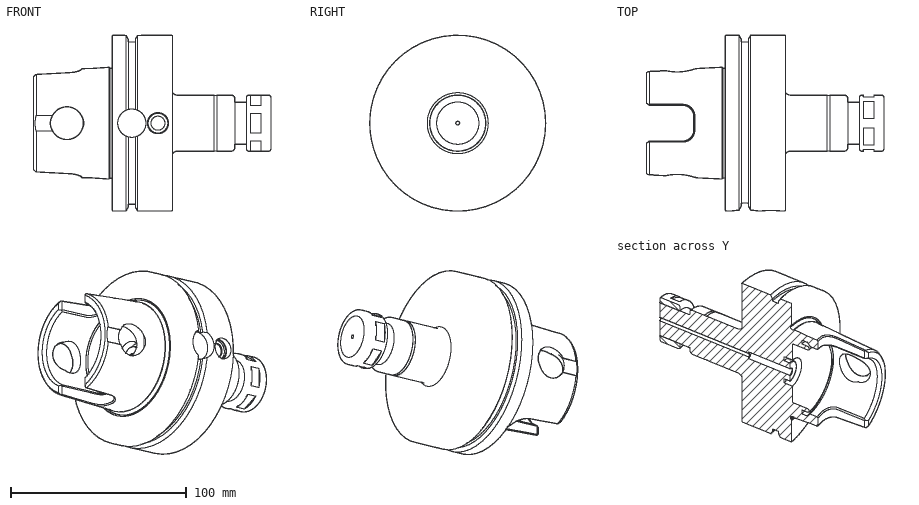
import cadquery as cq
import math


OVERALL_LENGTH = 135.0

TAPER = 0.05
SHANK_START_RADIUS = 29.7
SHANK_CHAMFER_LENGTH = 1.8
SHANK_CHAMFER_HEIGHT = 1.0
TAPER_END = 42.8
RELIEF_START = 43.6
RELIEF_RADIUS = 31.3

FLANGE_START = 44.7
FLANGE_END = 79.1
FLANGE_RADIUS = 100.0 / 2
FLANGE_ROUND = 0.8

FACE_STEP_RADIUS = 34.0
FACE_STEP_DEPTH = 0.3
FACE_GROOVE_RADIUS = 33.2
FACE_GROOVE_DEPTH = 0.8
ROOT_FILLET = 1.1

GRIP_CENTRE = 55.9
GRIP_FLOOR_WIDTH = 3.9
GRIP_MOUTH_WIDTH = 6.5
GRIP_FLOOR_RADIUS = 46.2
GRIP_BEVEL_DEPTH = 2.3

STEM_RADIUS = 32.0 / 2
STEM_END = 114.5
STEM_FILLET_RADIUS = 3.4
STEM_FILLET_HEIGHT = 1.4
STEM_FILLET_LENGTH = math.sqrt(STEM_FILLET_RADIUS**2 - (STEM_FILLET_RADIUS - STEM_FILLET_HEIGHT) ** 2)
STEM_END_ROUND = 2.2
BAND_START = 102.6
BAND_END = 104.2
BAND_DEPTH = 0.1
NECK_RADIUS = 24.0 / 2

NUT_START = 121.0
NUT_RADIUS = STEM_RADIUS
NUT_ROUND = 1.5
FLAT_COUNT = 6
FLAT_DISTANCE = 15.0
FLAT_START = 123.3
FLAT_LENGTH = 6.0

MOUTH_RADIUS = 24.0
MOUTH_BEVEL_LENGTH = 2.4
MOUTH_BEVEL_HEIGHT = 1.1
MOUTH_END = 32.3
UNDERCUT_RADIUS = 26.3
UNDERCUT_SLOPE_LENGTH = 2.0
UNDERCUT_END = 37.8

LIP_RADIUS = 22.4
LIP_ROUND = 1.5
LIP_START = 32.8
CUP_RADIUS = LIP_RADIUS - LIP_ROUND
CUP_FLOOR = 44.3
CUP_FILLET = 0.8

WELL_DIAMETER = 18.5
WELL_END = 50.0
POST_DIAMETER = 13.4
POST_CHAMFER = 0.3
POST_START = 45.9
PILOT_DIAMETER = 4.5
PILOT_CHAMFER = 0.3
PILOT_END = 74.2
COOLANT_DIAMETER = 2.0

SLOT_WIDTH = 20.2
SLOT_LENGTH = 26.9
SLOT_CORNER_RADIUS = 6.3
SLOT_MOUTH_LENGTH = 1.8
SLOT_MOUTH_FLARE = 1.2
SLOT_EDGE_CHAMFER = 0.7

CROSS_HOLE_X = 19.0
CROSS_HOLE_DIAMETER = 18.5
SLANTED_HOLE_DIAMETER = 16.5
SLANT_ANGLE = 25.0
SLANT_PIVOT_DISTANCE = 30.0
KEY_WIDTH = 8.6
KEY_DISTANCE = 29.3

POCKET_DIAMETER = 16.0
POCKET_FLOOR = 44.5
SCREW_X = 70.7
SCREW_STEPS = [(12.0, 46.2), (11.2, 44.8), (8.0, 43.9)]


def turned(outline):
    """Revolve a closed outline in (x, radius) about the X axis."""
    return outline.close().revolve(360, (0, 0, 0), (1, 0, 0))


def rod(diameter, start, end):
    """Cylinder on the X axis between two positions."""
    return cq.Workplane("YZ", origin=(start, 0, 0)).circle(diameter / 2).extrude(end - start)


def side_drill(x, diameter, distance):
    """Cylinder entering from -Y and stopping at the given distance from the axis."""
    plane = cq.Workplane("XZ", origin=(x, -distance, 0))
    return plane.circle(diameter / 2).extrude(FLANGE_RADIUS)


def holder_blank():
    tip_radius = SHANK_START_RADIUS - SHANK_CHAMFER_HEIGHT
    taper_end_radius = SHANK_START_RADIUS + TAPER * TAPER_END
    step_bottom = FLANGE_START + FACE_STEP_DEPTH
    groove_bottom = FLANGE_START + FACE_GROOVE_DEPTH
    bevel_radius = FLANGE_RADIUS - GRIP_BEVEL_DEPTH
    band_radius = STEM_RADIUS - BAND_DEPTH
    fillet_end = FLANGE_END + STEM_FILLET_LENGTH
    outline = (
        cq.Workplane("XY")
        .moveTo(0, 0)
        .lineTo(0, tip_radius)
        .lineTo(SHANK_CHAMFER_LENGTH, SHANK_START_RADIUS + TAPER * SHANK_CHAMFER_LENGTH)
        .lineTo(TAPER_END, taper_end_radius)
        .lineTo(RELIEF_START, RELIEF_RADIUS)
        .lineTo(groove_bottom - ROOT_FILLET, RELIEF_RADIUS)
        .radiusArc((groove_bottom, RELIEF_RADIUS + ROOT_FILLET), -ROOT_FILLET)
        .lineTo(groove_bottom, FACE_GROOVE_RADIUS)
        .lineTo(step_bottom, FACE_GROOVE_RADIUS)
        .lineTo(step_bottom, FACE_STEP_RADIUS)
        .lineTo(FLANGE_START, FACE_STEP_RADIUS)
        .lineTo(FLANGE_START, FLANGE_RADIUS - FLANGE_ROUND)
        .radiusArc((FLANGE_START + FLANGE_ROUND, FLANGE_RADIUS), FLANGE_ROUND)
        .lineTo(GRIP_CENTRE - GRIP_MOUTH_WIDTH / 2, FLANGE_RADIUS)
        .lineTo(GRIP_CENTRE - GRIP_FLOOR_WIDTH / 2, bevel_radius)
        .lineTo(GRIP_CENTRE - GRIP_FLOOR_WIDTH / 2, GRIP_FLOOR_RADIUS)
        .lineTo(GRIP_CENTRE + GRIP_FLOOR_WIDTH / 2, GRIP_FLOOR_RADIUS)
        .lineTo(GRIP_CENTRE + GRIP_FLOOR_WIDTH / 2, bevel_radius)
        .lineTo(GRIP_CENTRE + GRIP_MOUTH_WIDTH / 2, FLANGE_RADIUS)
        .lineTo(FLANGE_END - FLANGE_ROUND, FLANGE_RADIUS)
        .radiusArc((FLANGE_END, FLANGE_RADIUS - FLANGE_ROUND), FLANGE_ROUND)
        .lineTo(FLANGE_END, STEM_RADIUS + STEM_FILLET_HEIGHT)
        .radiusArc((fillet_end, STEM_RADIUS), -STEM_FILLET_RADIUS)
        .lineTo(BAND_START, STEM_RADIUS)
        .lineTo(BAND_START, band_radius)
        .lineTo(BAND_END, band_radius)
        .lineTo(BAND_END, STEM_RADIUS)
        .lineTo(STEM_END - STEM_END_ROUND, STEM_RADIUS)
        .radiusArc((STEM_END, STEM_RADIUS - STEM_END_ROUND), STEM_END_ROUND)
        .lineTo(STEM_END, NECK_RADIUS)
        .lineTo(OVERALL_LENGTH, NECK_RADIUS)
        .lineTo(OVERALL_LENGTH, 0)
    )
    return turned(outline)


def mouth_bore():
    return turned(
        cq.Workplane("XY")
        .moveTo(0, 0)
        .lineTo(0, MOUTH_RADIUS + MOUTH_BEVEL_HEIGHT)
        .lineTo(MOUTH_BEVEL_LENGTH, MOUTH_RADIUS)
        .lineTo(MOUTH_END, MOUTH_RADIUS)
        .lineTo(MOUTH_END, 0)
    )


def inner_cavity():
    lip_outer_radius = LIP_RADIUS + LIP_ROUND
    lip_round_end = LIP_START + LIP_ROUND
    return turned(
        cq.Workplane("XY")
        .moveTo(MOUTH_END, 0)
        .lineTo(MOUTH_END, MOUTH_RADIUS)
        .lineTo(MOUTH_END + UNDERCUT_SLOPE_LENGTH, UNDERCUT_RADIUS)
        .lineTo(UNDERCUT_END, UNDERCUT_RADIUS)
        .lineTo(UNDERCUT_END, lip_outer_radius)
        .lineTo(lip_round_end, lip_outer_radius)
        .threePointArc((LIP_START, LIP_RADIUS), (lip_round_end, CUP_RADIUS))
        .lineTo(CUP_FLOOR - CUP_FILLET, CUP_RADIUS)
        .radiusArc((CUP_FLOOR, CUP_RADIUS - CUP_FILLET), CUP_FILLET)
        .lineTo(CUP_FLOOR, 0)
    )


def axial_bore():
    post_end = WELL_END + POST_CHAMFER
    post = rod(POST_DIAMETER, POST_START, post_end).faces("<X").chamfer(POST_CHAMFER)
    well = rod(WELL_DIAMETER, CUP_FLOOR, WELL_END).cut(post)
    countersink_radius = PILOT_DIAMETER / 2 + PILOT_CHAMFER
    pilot = turned(
        cq.Workplane("XY")
        .moveTo(POST_START, 0)
        .lineTo(POST_START, countersink_radius)
        .lineTo(POST_START + PILOT_CHAMFER, PILOT_DIAMETER / 2)
        .lineTo(PILOT_END, PILOT_DIAMETER / 2)
        .lineTo(PILOT_END, 0)
    )
    return well.union(pilot).union(rod(COOLANT_DIAMETER, POST_START, OVERALL_LENGTH))


def drive_slots():
    half_width = SLOT_WIDTH / 2
    half_mouth = half_width + SLOT_MOUTH_FLARE
    return (
        cq.Workplane("XY")
        .moveTo(0, -half_mouth)
        .lineTo(SLOT_MOUTH_LENGTH, -half_width)
        .lineTo(SLOT_LENGTH, -half_width)
        .lineTo(SLOT_LENGTH, half_width)
        .lineTo(SLOT_MOUTH_LENGTH, half_width)
        .lineTo(0, half_mouth)
        .close()
        .extrude(FLANGE_RADIUS, both=True)
        .edges("|Z and >X")
        .fillet(SLOT_CORNER_RADIUS)
    )


def cut_drive_slots(body):
    """Cut the slots and break their inner and outer rims behind the flared mouth."""
    reach = SLOT_WIDTH / 2 + SLOT_EDGE_CHAMFER
    rim_region = cq.selectors.BoxSelector(
        (SLOT_MOUTH_LENGTH + SLOT_EDGE_CHAMFER, -reach, -FLANGE_RADIUS),
        (SLOT_LENGTH + SLOT_EDGE_CHAMFER, reach, FLANGE_RADIUS),
    )
    rims = body.cut(drive_slots()).edges(rim_region).edges("not |Z")
    return rims.chamfer(SLOT_EDGE_CHAMFER)


def key_flats():
    flat = cq.Workplane("XY").box(
        CROSS_HOLE_X, SHANK_START_RADIUS, KEY_WIDTH, centered=(False, False, True)
    ).translate((0, KEY_DISTANCE, 0))
    return flat.union(flat.mirror("XZ"))


def cross_hole():
    plane = cq.Workplane("XZ", origin=(CROSS_HOLE_X, 0, 0))
    return plane.circle(CROSS_HOLE_DIAMETER / 2).extrude(FLANGE_RADIUS, both=True)


def slanted_holes():
    pivot = cq.Vector(CROSS_HOLE_X, SLANT_PIVOT_DISTANCE, 0)
    hole = (
        cq.Workplane("XZ", origin=pivot.toTuple())
        .circle(SLANTED_HOLE_DIAMETER / 2)
        .extrude(MOUTH_RADIUS / 2, both=True)
        .rotate(pivot, pivot + cq.Vector(0, 0, 1.4), -SLANT_ANGLE)
    )
    return hole.union(hole.mirror("XZ"))


def build_holder():
    body = holder_blank().cut(mouth_bore())
    body = cut_drive_slots(body)
    body = body.cut(inner_cavity()).cut(axial_bore())
    body = body.cut(cross_hole()).cut(slanted_holes()).cut(key_flats())
    body = body.cut(side_drill(GRIP_CENTRE, POCKET_DIAMETER, POCKET_FLOOR))
    for diameter, distance in SCREW_STEPS:
        body = body.cut(side_drill(SCREW_X, diameter, distance))
    return body


def build_nut():
    ring = turned(
        cq.Workplane("XY")
        .moveTo(NUT_START, NECK_RADIUS)
        .lineTo(NUT_START, NUT_RADIUS - NUT_ROUND)
        .radiusArc((NUT_START + NUT_ROUND, NUT_RADIUS), NUT_ROUND)
        .lineTo(OVERALL_LENGTH - NUT_ROUND, NUT_RADIUS)
        .radiusArc((OVERALL_LENGTH, NUT_RADIUS - NUT_ROUND), NUT_ROUND)
        .lineTo(OVERALL_LENGTH, NECK_RADIUS)
    )
    flat = cq.Workplane("XY").box(
        FLAT_LENGTH, NUT_RADIUS, 2 * NUT_RADIUS, centered=(False, False, True)
    ).translate((FLAT_START, FLAT_DISTANCE, 0))
    for index in range(FLAT_COUNT):
        ring = ring.cut(flat.rotate((0, 0, 0), (1, 0, 0), index * 360 / FLAT_COUNT))
    return ring


holder = build_holder()
nut = build_nut()
result = cq.Compound.makeCompound([holder.val(), nut.val()])